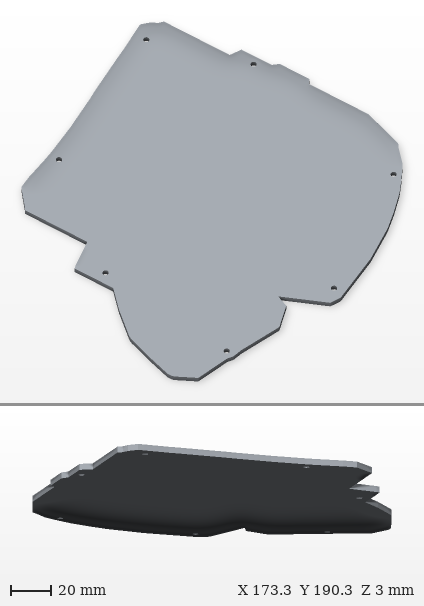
import cadquery as cq

width = 173.3
depth = 190.3
thickness = 3.0
hole_diameter = 3.0

back_left_y = 181.7
back_middle_y = 187.6
front_left_y = 47.2
front_middle_y = 30.0

waist_x = 4.0
left_edge = [
    (0, 174.0),
    (0.2, 170.7),
    (1.1, 157.5),
    (1.3, 151.0),
    (2.0, 136.0),
    (2.5, 128.2),
    (3.0, 121.5),
    (3.6, 109.8),
    (waist_x, 102.8),
    (waist_x, 84.3),
    (3.6, 77.3),
    (2.7, 65.5),
    (2.7, 58.2),
]

front_edge = [
    (11.0, 48.3),
    (11.8, front_left_y),
    (48.3, front_left_y),
    (51.0, 32.0),
    (51.5, front_middle_y),
    (74.2, front_middle_y),
    (83.7, 20.4),
    (96.9, 9.1),
    (98.8, 8.2),
    (113.8, 3.2),
    (124.8, 0),
]

thumb_lobe = [
    (127.5, 0),
    (128.8, 0.4),
    (139.3, 5.9),
    (145.2, 23.5),
    (147.0, 26.3),
    (148.5, 31.5),
    (157.0, 53.7),
    (153.0, 66.6),
    (146.5, 69.3),
]

right_edge = [
    (170.7, 79.7),
    (width, 85.0),
    (width, 113.2),
    (170.7, 133.4),
    (168.0, 143.5),
    (164.2, 154.9),
    (160.8, 162.1),
    (156.2, 170.7),
    (149.4, 178.0),
    (147.5, 180.4),
    (125.5, back_middle_y),
]

back_edge = [
    (90.5, back_middle_y),
    (89.2, depth),
    (71.7, depth),
    (68.7, back_middle_y),
    (51.0, back_middle_y),
    (47.8, back_left_y),
    (9.1, back_left_y),
    (7.2, 179.5),
    (4.0, 178.0),
]

hole_centers = [
    (7.6, 167.6),
    (60.9, 183.2),
    (155.6, 163.0),
    (167.5, 88.3),
    (9.7, 82.4),
    (66.0, 36.0),
    (142.5, 27.4),
]


def make_plate():
    """Flat plate bounded by the edge stretches joined counterclockwise."""
    outline = left_edge + front_edge + thumb_lobe + right_edge + back_edge
    return cq.Workplane("XY").polyline(outline).close().extrude(thickness)


def make_holes():
    """Cylinders that pass through the full plate thickness."""
    return cq.Workplane("XY").pushPoints(hole_centers).circle(hole_diameter / 2).extrude(thickness)


result = make_plate().cut(make_holes())